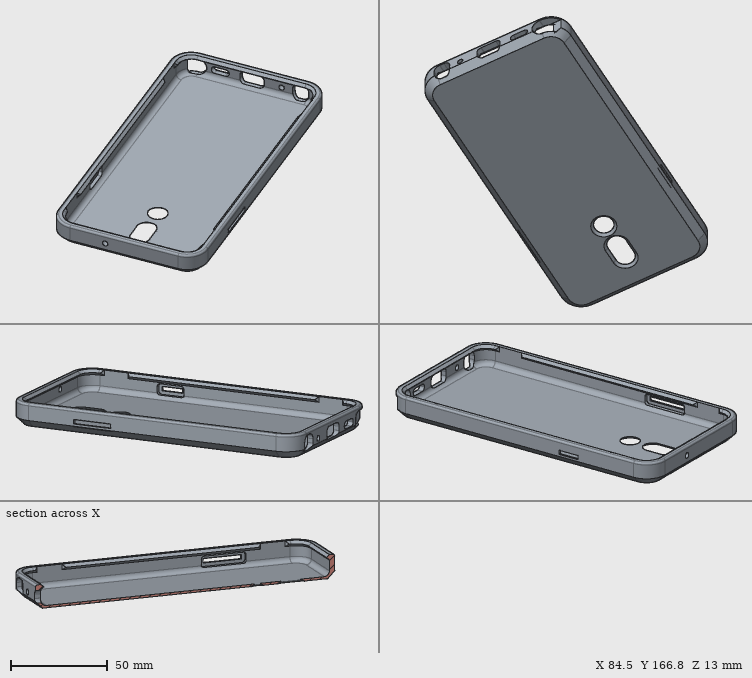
import cadquery as cq
width = 84.5
length = 166.8
height = 13.0
corner_radius = 11.7
bottom_chamfer = 4.0
rim_fillet = 1.2

wall = 3.2
floor_thickness = 1.5
floor_fillet = 2.8

lip_reach = 1.58
lip_depth = 1.5
gap_start = 55.4
gap_end = 69.0

window_width = 10.5
window_flare = 45
sensor_y = -40.2
camera_y = -58.7
camera_length = 19.0

port_z = height / 2
jack_x = 27.5
jack_width = 9.2
jack_height = 9.0
jack_corner = 3.3
usb_x = 0.0
usb_width = 13.7
usb_height = 7.3
usb_corner = 2.5
speaker_x = -18.0
speaker_width = 10.0
speaker_height = 4.0
speaker_corner = 1.8

corner_slot_height = 9.0
corner_slot_right = -25.7
corner_slot_front = 78.5

microphone_diameter = 3.0
top_microphone_x = 16.7
bottom_microphone_x = -10.7
bottom_microphone_z = 7.8

button_z = 6.3
slit_height = 2.3
slit_corner = 0.3
recess_margin = 1.8
recess_corner = 1.7
recess_depth = 2.0
power_y = -30.7
power_length = 11.8
volume_y = -34.9
volume_length = 21.4

cutter_length = 13.3


def outline(inset, z):
    """Case outline moved inwards by inset, at height z."""
    return (
        cq.Sketch()
        .rect(width - 2 * inset, length - 2 * inset)
        .vertices()
        .fillet(corner_radius - inset)
        .moved(cq.Location(cq.Vector(0, 0, z)))
    )


def rounded_block(inset, z_bottom, z_top):
    block = cq.Workplane("XY").placeSketch(outline(inset, z_bottom))
    return block.extrude(z_top - z_bottom)


def make_shell():
    body = rounded_block(0, 0, height)
    body = body.faces("<Z").chamfer(bottom_chamfer)
    body = body.faces(">Z").edges().fillet(rim_fillet)
    cavity = rounded_block(wall, floor_thickness, height)
    cavity = cavity.faces("<Z").edges().fillet(floor_fillet)
    return body.cut(cavity)


def make_lip():
    crest_z = height - lip_depth
    lip_bottom = crest_z - lip_depth
    crest = outline(wall + lip_reach, crest_z)
    upper_opening = cq.Workplane("XY").placeSketch(crest, outline(wall, height)).loft()
    lower_opening = cq.Workplane("XY").placeSketch(outline(wall, lip_bottom), crest).loft()
    lip = rounded_block(wall, lip_bottom, height).cut(upper_opening).cut(lower_opening)

    wall_x = width / 2 - wall
    crest_x = wall_x - lip_reach
    for side_x in (-1, 1):
        for side_y in (-1, 1):
            gap = (
                cq.Workplane("XY", origin=(0, 0, lip_bottom))
                .moveTo(side_x * wall_x, side_y * gap_start)
                .lineTo(side_x * wall_x, side_y * gap_end)
                .lineTo(side_x * crest_x, side_y * (gap_end + lip_reach))
                .lineTo(side_x * crest_x, side_y * (gap_start - lip_reach))
                .close()
                .extrude(height - lip_bottom)
            )
            lip = lip.cut(gap)
    return lip


def long_window(y, window_length):
    return (
        cq.Workplane("XY", origin=(0, y, floor_thickness))
        .slot2D(window_length, window_width, 90)
        .extrude(-floor_thickness, taper=-window_flare)
    )


def round_window(y):
    return (
        cq.Workplane("XY", origin=(0, y, floor_thickness))
        .circle(window_width / 2)
        .extrude(-floor_thickness, taper=-window_flare)
    )


def end_port(x, port_width, port_height, corner):
    port = cq.Workplane("XY", origin=(x, length / 2, port_z))
    return port.box(port_width, cutter_length, port_height).edges("|Y").fillet(corner)


def microphone(side, x, z):
    hole = cq.Workplane("XZ", origin=(x, side * length / 2, z)).circle(microphone_diameter / 2)
    return hole.extrude(cutter_length / 2, both=True)


def corner_slot():
    slot_length = width / 2 + corner_slot_right + corner_slot_height
    center_x = corner_slot_right - slot_length / 2
    return (
        cq.Workplane("XZ", origin=(center_x, corner_slot_front, port_z))
        .slot2D(slot_length, corner_slot_height)
        .extrude(-cutter_length)
    )


def rounded_bar(x, y, depth, bar_length, bar_height, corner):
    bar = cq.Workplane("XY", origin=(x, y, button_z)).box(depth, bar_length, bar_height)
    return bar.edges("|X").fillet(corner)


def button_opening(side, y, slit_length):
    outer_x = side * width / 2
    inner_x = side * (width / 2 - wall)
    recess_length = slit_length + 2 * recess_margin
    recess_height = slit_height + 2 * recess_margin
    slit = rounded_bar(outer_x, y, cutter_length, slit_length, slit_height, slit_corner)
    recess = rounded_bar(inner_x, y, 2 * recess_depth, recess_length, recess_height, recess_corner)
    return slit.union(recess)


openings = (
    round_window(sensor_y),
    long_window(camera_y, camera_length),
    end_port(jack_x, jack_width, jack_height, jack_corner),
    end_port(usb_x, usb_width, usb_height, usb_corner),
    end_port(speaker_x, speaker_width, speaker_height, speaker_corner),
    corner_slot(),
    microphone(1, top_microphone_x, port_z),
    microphone(-1, bottom_microphone_x, bottom_microphone_z),
    button_opening(-1, power_y, power_length),
    button_opening(1, volume_y, volume_length),
)

result = make_shell().union(make_lip())
for opening in openings:
    result = result.cut(opening)